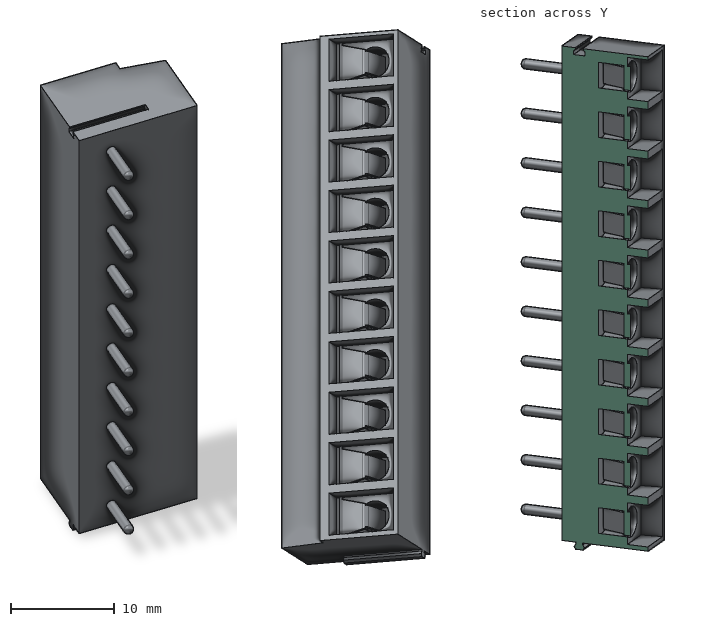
import cadquery as cq
import math


pole_count = 10
housing_height = 49.95
pitch = housing_height / pole_count
housing_depth = 9.0
housing_width = 12.5
entry_width = 8.0
shelf_depth = 0.95
slope_top_depth = 1.65

pin_radius = 0.5
pin_length = 4.45
pin_tip_round = 0.45
pin_y = 3.4

dovetail_x = 7.2
dovetail_neck = 0.75
dovetail_wide = 1.1
neck_height = 0.15
slot_shoulder = 0.35
slot_depth = 0.7
key_shoulder = 0.45
key_height = 0.7
key_end_width = 0.75

pocket_height = 4.15
pocket_shift = 0.05
pocket_front_y = 0.45
pocket_floor_front_y = 0.75
pocket_back_y = 7.05
pocket_depth = 2.15

hole_radius = 1.5
hole_y = 3.2
hole_depth = 3.05

leaf_thickness = 0.35
leaf_root_y = 6.4
leaf_blade_width = 3.65
leaf_neck_width = 2.45
leaf_tip_width = 2.15
leaf_bend_y = 4.25
leaf_neck_y = 4.0
leaf_tip_y = 3.05
leaf_bend_radius = 0.5
leaf_bend_angle = math.radians(75)


def make_housing():
    outline = [
        (0, 0),
        (housing_depth, 0),
        (housing_depth, housing_width),
        (slope_top_depth, housing_width),
        (shelf_depth, entry_width),
        (0, entry_width),
    ]
    return cq.Workplane("XY").polyline(outline).close().extrude(housing_height)


def make_dovetail(top_z, shoulder, height, end_width, overlap=0.0):
    """Dovetail bar hanging below top_z, as long as the wire-entry face is wide."""
    right_side = [
        (dovetail_neck / 2, overlap),
        (dovetail_neck / 2, -neck_height),
        (dovetail_wide / 2, -shoulder),
        (end_width / 2, -height),
    ]
    left_side = [(-x, z) for x, z in reversed(right_side)]
    plane = cq.Workplane("XZ", origin=(dovetail_x, 0, top_z))
    return plane.polyline(right_side + left_side).close().extrude(-entry_width)


def make_pin():
    """Round-tipped pin along X, starting inside the housing."""
    root_x = housing_depth - pin_radius
    pin = cq.Workplane("YZ", origin=(root_x, pin_y, 0)).circle(pin_radius).extrude(pin_radius + pin_length)
    return pin.faces(">X").edges().fillet(pin_tip_round)


def make_entry_cavity():
    """Pocket with a slanted front wall, plus the round hole in its floor."""
    outline = [
        (0, pocket_front_y),
        (pocket_depth, pocket_floor_front_y),
        (pocket_depth, pocket_back_y),
        (0, pocket_back_y),
    ]
    pocket = (
        cq.Workplane("XY", origin=(0, 0, pocket_shift))
        .polyline(outline)
        .close()
        .extrude(pocket_height / 2, both=True)
    )
    hole = (
        cq.Workplane("YZ", origin=(pocket_depth, 0, 0))
        .center(hole_y, 0)
        .circle(hole_radius)
        .extrude(hole_depth)
    )
    return pocket.union(hole)


def make_leaf_strip():
    """Leaf as a strip of full pocket height: rounded back edge, flat, bend and straight tip."""
    top_x = pocket_depth - leaf_thickness
    bend_x = top_x + leaf_bend_radius
    inner_radius = leaf_bend_radius - leaf_thickness

    def bend_point(radius, angle):
        return (bend_x - radius * math.cos(angle), leaf_bend_y - radius * math.sin(angle))

    outer_end = bend_point(leaf_bend_radius, leaf_bend_angle)
    inner_end = bend_point(inner_radius, leaf_bend_angle)
    tip_dy = leaf_tip_y - outer_end[1]
    tip_dx = -tip_dy * math.tan(leaf_bend_angle)
    back_offset = leaf_thickness * math.sqrt(0.5)
    back_middle = (pocket_depth - back_offset, leaf_root_y + back_offset)

    return (
        cq.Workplane("XY")
        .moveTo(pocket_depth, leaf_root_y + leaf_thickness)
        .threePointArc(back_middle, (top_x, leaf_root_y))
        .lineTo(top_x, leaf_bend_y)
        .threePointArc(bend_point(leaf_bend_radius, leaf_bend_angle / 2), outer_end)
        .line(tip_dx, tip_dy)
        .lineTo(inner_end[0] + tip_dx, inner_end[1] + tip_dy)
        .lineTo(*inner_end)
        .threePointArc(bend_point(inner_radius, leaf_bend_angle / 2), (pocket_depth, leaf_bend_y))
        .close()
        .extrude(pocket_height / 2, both=True)
    )


def trim_leaf(strip):
    """Cut the leaf to its tapered outline in the YZ plane."""
    upper_side = [
        (pocket_back_y, pocket_height / 2),
        (leaf_root_y, pocket_height / 2),
        (leaf_root_y, leaf_blade_width / 2),
        (leaf_neck_y, leaf_neck_width / 2),
        (leaf_neck_y, leaf_tip_width / 2),
        (0, leaf_tip_width / 2),
    ]
    lower_side = [(y, -z) for y, z in reversed(upper_side)]
    outline = cq.Workplane("YZ").polyline(upper_side + lower_side).close().extrude(housing_depth)
    return strip.intersect(outline)


slot = make_dovetail(housing_height, slot_shoulder, slot_depth, dovetail_wide)
key = make_dovetail(0, key_shoulder, key_height, key_end_width, overlap=neck_height)
pin = make_pin()
cavity = make_entry_cavity()
leaf = trim_leaf(make_leaf_strip()).translate((0, 0, pocket_shift))

result = make_housing().cut(slot).union(key)
for pole in range(pole_count):
    pole_centre = (0, 0, (pole + 0.5) * pitch)
    result = result.cut(cavity.translate(pole_centre))
    result = result.union(leaf.translate(pole_centre))
    result = result.union(pin.translate(pole_centre))